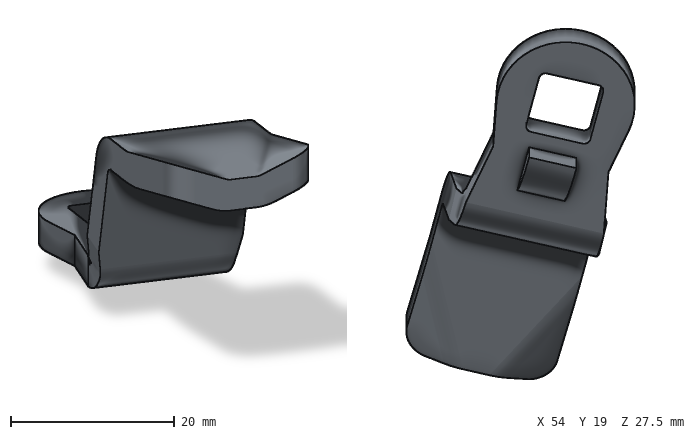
import cadquery as cq
import math


length = 54.0
half_width = 9.5
thickness = 4.0
bend_radius = 1.0
outer_radius = thickness + bend_radius
tongue_height = 18.0
web_angle = math.radians(75)
lower_bend_x = 24.15

pad_radius = 8.5
waist_x = 16.0
side_angle = math.radians(10)
side_slope = math.tan(side_angle)
hole_x = 8.95
hole_size = 8.1
hole_corner_radius = 0.8

tooth_x = 15.05
tooth_size = 6.0
tooth_depth = 3.0

web_taper_length = 3.35
web_taper_drop = 0.8
fan_clearance = 0.05
fan_reach = 7.55

tongue_corner_radius = 3.0
fold_start_x = 38.3
fold_slope = 0.5
fold_radius = 1.5
wing_angle = math.radians(23.5)
wing_reach = 10.8

cos_web = math.cos(web_angle)
sin_web = math.sin(web_angle)
lower_center_z = outer_radius
upper_center_z = tongue_height - bend_radius
center_rise = upper_center_z - lower_center_z
center_run = (bend_radius + outer_radius + center_rise * cos_web) / sin_web
upper_bend_x = lower_bend_x + center_run
web_length = center_run * cos_web + center_rise * sin_web

tangent_x = pad_radius * (1 + math.sin(side_angle))
tangent_y = pad_radius * math.cos(side_angle)
waist_y = tangent_y - (waist_x - tangent_x) * side_slope
flare_half_width = waist_y + (lower_bend_x - waist_x) * side_slope
taper_half_width = half_width - web_taper_length * side_slope


def polar(center, radius, angle):
    return (center[0] + radius * math.cos(angle), center[1] + radius * math.sin(angle))


def extrude_across(profile):
    """Extrude an XZ profile over the full width."""
    return profile.extrude(half_width, both=True)


def bend_sector(center, start_angle, end_angle):
    """Make the curved piece of sheet between two angles about a bend centre."""
    middle_angle = (start_angle + end_angle) / 2
    return extrude_across(
        cq.Workplane("XZ")
        .moveTo(*polar(center, bend_radius, start_angle))
        .lineTo(*polar(center, outer_radius, start_angle))
        .threePointArc(polar(center, outer_radius, middle_angle), polar(center, outer_radius, end_angle))
        .lineTo(*polar(center, bend_radius, end_angle))
        .threePointArc(polar(center, bend_radius, middle_angle), polar(center, bend_radius, start_angle))
        .close()
    )


def pad_outline():
    """Outline a round head, a waist and flared sides up to the lower bend."""
    return (
        cq.Workplane("XY")
        .moveTo(tangent_x, -tangent_y)
        .threePointArc((0, 0), (tangent_x, tangent_y))
        .lineTo(waist_x, waist_y)
        .lineTo(lower_bend_x, flare_half_width)
        .lineTo(lower_bend_x, -flare_half_width)
        .lineTo(waist_x, -waist_y)
        .close()
    )


def tooth(top_z):
    """Make a block below top_z, with a round ramp tangent to its lowest edge."""
    bottom_z = top_z - tooth_depth
    ramp_radius = (tooth_size**2 + tooth_depth**2) / (2 * tooth_depth)
    ramp_center = (tooth_x, bottom_z + ramp_radius)
    ramp_sweep = math.asin(tooth_size / ramp_radius)
    return (
        cq.Workplane("XZ")
        .moveTo(tooth_x, top_z)
        .lineTo(tooth_x, bottom_z)
        .threePointArc(
            polar(ramp_center, ramp_radius, (ramp_sweep - math.pi) / 2),
            (tooth_x + tooth_size, top_z),
        )
        .close()
        .extrude(tooth_size / 2, both=True)
    )


def web_slab(slab_thickness):
    """Make the tapered inclined slab; its local X runs up the slope and its local Y across the part."""
    start_x, start_z = polar((lower_bend_x, lower_center_z), outer_radius, web_angle - math.pi / 2)
    plane = cq.Plane(
        origin=(start_x, 0, start_z),
        xDir=(cos_web, 0, sin_web),
        normal=(-sin_web, 0, cos_web),
    )
    taper_start = -web_taper_drop
    taper_end = taper_start + web_taper_length
    outline = [
        (taper_start, -taper_half_width),
        (taper_end, -half_width),
        (web_length, -half_width),
        (web_length, half_width),
        (taper_end, half_width),
        (taper_start, taper_half_width),
    ]
    return cq.Workplane(plane).polyline(outline).close().extrude(slab_thickness)


def lower_bend():
    """Make the lower bend, whose sides fan out from the pad flare to the start of the web taper."""
    sector = bend_sector((lower_bend_x, lower_center_z), -math.pi / 2, web_angle - math.pi / 2)
    pivot = (lower_bend_x, lower_center_z - web_taper_drop / sin_web)

    def fan_section(angle, section_half_width):
        near_x, near_z = polar(pivot, fan_clearance, angle)
        far_x, far_z = polar(pivot, fan_reach, angle)
        corners = [
            cq.Vector(near_x, -section_half_width, near_z),
            cq.Vector(far_x, -section_half_width, far_z),
            cq.Vector(far_x, section_half_width, far_z),
            cq.Vector(near_x, section_half_width, near_z),
        ]
        return cq.Wire.makePolygon(corners, close=True)

    pad_end = fan_section(-math.pi / 2, flare_half_width)
    web_end = fan_section(web_angle - math.pi / 2, taper_half_width)
    fan = cq.Workplane(cq.Solid.makeLoft([pad_end, web_end], True))
    return sector.intersect(fan).union(sector.intersect(web_slab(outer_radius)))


def web():
    """Make the inclined panel above the lower bend."""
    above_bend = (
        cq.Workplane(cq.Plane(
            origin=(lower_bend_x, 0, lower_center_z),
            xDir=(0, 1, 0),
            normal=(cos_web, 0, sin_web),
        ))
        .rect(2 * half_width, 2 * outer_radius)
        .extrude(web_length)
    )
    return web_slab(thickness).intersect(above_bend)


def lower_section():
    """Make the pad and lower bend, with the square hole and pressed tooth."""
    body = pad_outline().extrude(thickness).union(lower_bend())
    hole = (
        cq.Workplane("XY")
        .center(hole_x, 0)
        .rect(hole_size, hole_size)
        .extrude(thickness)
        .edges("|Z")
        .fillet(hole_corner_radius)
    )
    return body.cut(hole).cut(tooth(thickness)).union(tooth(0))


def wing():
    """Make an untrimmed wing on the +Y side, as a fold section swept along the fold line."""
    fold_angle = math.atan(fold_slope)
    plane = cq.Plane(
        origin=(fold_start_x, half_width, tongue_height),
        xDir=(math.sin(fold_angle), math.cos(fold_angle), 0),
        normal=(math.cos(fold_angle), -math.sin(fold_angle), 0),
    )
    lower_radius = fold_radius + thickness
    center = (0, lower_radius)
    start = -math.pi / 2
    middle = start + wing_angle / 2
    end = start + wing_angle
    lower_end = polar(center, lower_radius, end)
    upper_end = polar(center, fold_radius, end)
    return (
        cq.Workplane(plane)
        .moveTo(0, 0)
        .threePointArc(polar(center, lower_radius, middle), lower_end)
        .lineTo(*polar(lower_end, wing_reach, wing_angle))
        .lineTo(*polar(upper_end, wing_reach, wing_angle))
        .lineTo(*upper_end)
        .threePointArc(polar(center, fold_radius, middle), (0, thickness))
        .close()
        .extrude(length, both=True)
    )


def tongue():
    """Make the upper plate with its two outer corners folded upward."""
    fold_end_y = half_width - (length - fold_start_x) * fold_slope
    flat_outline = [
        (upper_bend_x, -half_width),
        (fold_start_x, -half_width),
        (length, -fold_end_y),
        (length, fold_end_y),
        (fold_start_x, half_width),
        (upper_bend_x, half_width),
    ]
    flat = cq.Workplane("XY").workplane(offset=tongue_height).polyline(flat_outline).close().extrude(thickness)
    trim = (
        cq.Workplane("XY")
        .workplane(offset=tongue_height)
        .center((upper_bend_x + length) / 2, 0)
        .rect(length - upper_bend_x, 2 * half_width)
        .extrude(thickness + wing_reach)
        .edges("|Z and >X")
        .fillet(tongue_corner_radius)
    )
    trimmed_wing = wing().intersect(trim)
    return flat.union(trimmed_wing).union(trimmed_wing.mirror("XZ"))


upper_bend = bend_sector((upper_bend_x, upper_center_z), math.pi / 2, web_angle + math.pi / 2)
result = lower_section().union(web()).union(upper_bend).union(tongue())